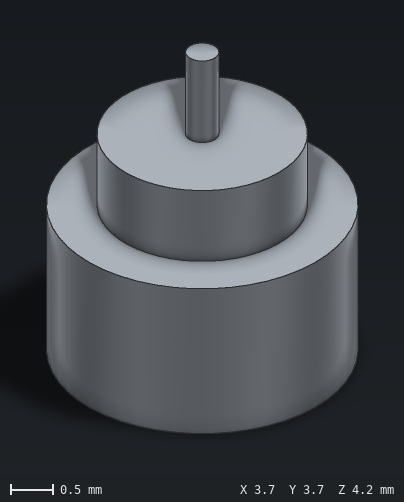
import cadquery as cq

total_height = 4.2

base_diameter = 3.7
base_height = 2.05
collar_diameter = 2.5
collar_height = 1.0

insulator_diameter = 1.95
pin_diameter = 0.4
collar_top = base_height + collar_height
pin_height = total_height - collar_top


def cylinder(diameter, height, bottom):
    """Upright cylinder on the Z axis, starting at the given height."""
    return cq.Workplane("XY").workplane(offset=bottom).circle(diameter / 2).extrude(height)


base = cylinder(base_diameter, base_height, 0)
collar = cylinder(collar_diameter, collar_height, base_height)
insulator = cylinder(insulator_diameter, collar_height, base_height)
pin = cylinder(pin_diameter, pin_height, collar_top)

result = base.union(collar).union(insulator, clean=False).union(pin, clean=False)